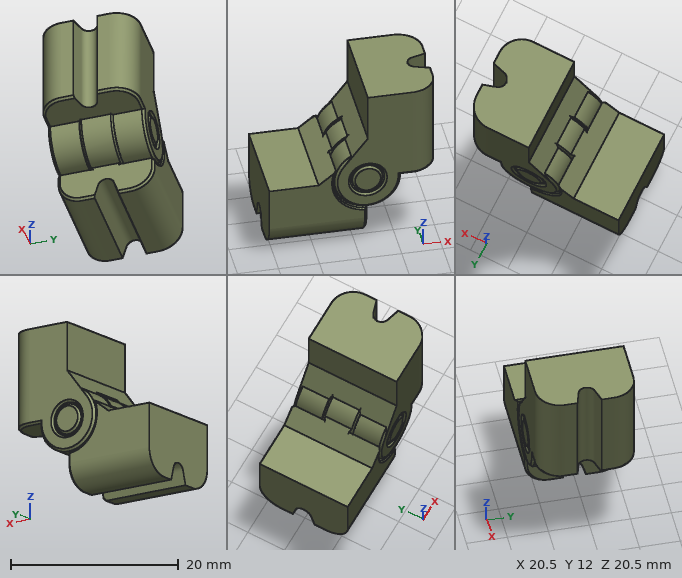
import cadquery as cq
import math

width = 12.0
leaf_length = 12.0
leaf_thickness = 20.5 - leaf_length
shoulder = leaf_length / 2
half_width = width / 2
corner_radius = 3.0
end_gap = 0.1
edge_chamfer = 0.29

groove_depth = 2.42
groove_mouth = 2.95
groove_radius = 1.02

clearance = 0.2
knuckle_radius = 4.0
knuckle_chamfer = 0.3
knuckle_edge_radius = knuckle_radius - knuckle_chamfer
recess_radius = knuckle_radius + clearance
recess_flare = 0.18
middle_half = 2.13
pin_radius = 3.7 / 2
pin_chamfer = 0.29
hole_radius = 4.15 / 2
hole_chamfer = 0.27


def cylinder(radius):
    """Full-width cylinder on the hinge axis."""
    return cq.Workplane("XZ").circle(radius).extrude(half_width, both=True)


def revolve_profile(points):
    """Turn an outline of (radius, y) points around the hinge axis."""
    return cq.Workplane("XY").polyline(points).close().revolve(360, (0, 0, 0), (0, 1, 0))


def make_block():
    """Upright leaf whose sloped face is tangent to the edge circle of the knuckle."""
    tangent_angle = math.acos(knuckle_edge_radius / shoulder)
    tangent_x = -knuckle_edge_radius * math.sin(tangent_angle)
    tangent_z = knuckle_edge_radius * math.cos(tangent_angle)
    outline = [
        (0, leaf_length),
        (leaf_thickness, leaf_length),
        (leaf_thickness, end_gap),
        (0, end_gap),
        (tangent_x, tangent_z),
        (0, shoulder),
    ]
    block = cq.Workplane("XZ").polyline(outline).close().extrude(half_width, both=True)
    block = block.edges("|Z and >X").fillet(corner_radius)
    block = block.faces("<Z").edges().chamfer(edge_chamfer)
    return block.cut(make_groove())


def make_groove():
    """Groove with a round floor and tangent walls that open towards the mouth."""
    mouth_half = groove_mouth / 2
    center_depth = groove_depth - groove_radius
    mouth_angle = math.atan2(mouth_half, center_depth)
    tangent_angle = mouth_angle + math.acos(groove_radius / math.hypot(mouth_half, center_depth))
    tangent_x = leaf_thickness - center_depth + groove_radius * math.cos(tangent_angle)
    tangent_y = groove_radius * math.sin(tangent_angle)
    return (
        cq.Workplane("XY")
        .moveTo(leaf_thickness, -mouth_half)
        .lineTo(tangent_x, -tangent_y)
        .threePointArc((leaf_thickness - groove_depth, 0), (tangent_x, tangent_y))
        .lineTo(leaf_thickness, mouth_half)
        .close()
        .extrude(leaf_length)
    )


def make_middle_socket():
    """Space in the upright leaf for the middle knuckle, with 45 degree conical edges."""
    socket_half = middle_half + clearance
    cone_sum = middle_half + knuckle_edge_radius + clearance * math.sqrt(2)
    cone_radius = cone_sum - socket_half
    rim_half = cone_sum - recess_radius
    return revolve_profile([
        (0, -socket_half),
        (cone_radius, -socket_half),
        (recess_radius, -rim_half),
        (recess_radius, rim_half),
        (cone_radius, socket_half),
        (0, socket_half),
    ])


def make_side_recess(side):
    """Space in the flat leaf for one outer knuckle; side is +1 or -1 along Y."""
    rim_y = middle_half + knuckle_edge_radius - recess_radius
    return revolve_profile([
        (0, side * middle_half),
        (knuckle_edge_radius, side * middle_half),
        (recess_radius, side * rim_y),
        (recess_radius, side * (half_width - recess_flare)),
        (recess_radius + recess_flare, side * half_width),
        (0, side * half_width),
    ])


def make_pin_hole():
    """Through hole for the pin, chamfered at both mouths."""
    mouth_radius = hole_radius + hole_chamfer
    chamfer_y = half_width - hole_chamfer
    return revolve_profile([
        (0, -half_width),
        (mouth_radius, -half_width),
        (hole_radius, -chamfer_y),
        (hole_radius, chamfer_y),
        (mouth_radius, half_width),
        (0, half_width),
    ])


def make_upright_leaf(block):
    """Leaf with the two outer knuckles."""
    knuckles = cylinder(knuckle_radius).faces("<Y or >Y").edges().chamfer(knuckle_chamfer)
    return block.union(knuckles).cut(make_middle_socket()).cut(make_pin_hole())


def make_flat_leaf(block):
    """Leaf with the middle knuckle and the pin, which is part of it."""
    leaf = block.mirror(cq.Vector(1, 0, 1)).union(cylinder(knuckle_radius))
    for side in (-1, 1):
        leaf = leaf.cut(make_side_recess(side))
    pin = cylinder(pin_radius).faces("<Y or >Y").edges().chamfer(pin_chamfer)
    return leaf.union(pin)


leaf_block = make_block()
upright_leaf = make_upright_leaf(leaf_block)
flat_leaf = make_flat_leaf(leaf_block)

result = cq.Compound.makeCompound([upright_leaf.val(), flat_leaf.val()])